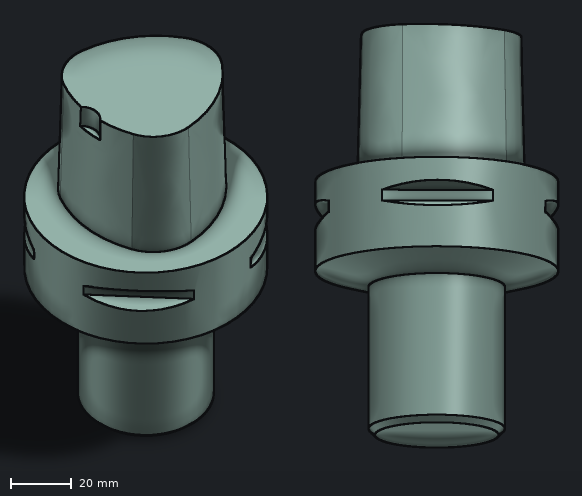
import cadquery as cq
import math

total_height = 133.0
flange_top = 85.1
flange_bottom = 55.0
shank_top = 49.7

flange_radius = 80.0 / 2
shank_radius = 45.0 / 2
shank_chamfer = 2.1

lobe_radius = 16.0
lobe_center_distance = 12.4
side_reach = 24.5
taper_per_side = 1 / 40

notch_radius = 6.5
notch_inner_y = -22.1
notch_depth = 8.1

groove_z = 73.2
groove_floor_distance = 35.6
groove_floor_height = 3.6
groove_mouth_height = 8.5


def polar(radius, degrees):
    angle = math.radians(degrees)
    return radius * math.cos(angle), radius * math.sin(angle)


def turned_body():
    """Revolve the shank, cone and flange about Z."""
    return (
        cq.Workplane("XZ")
        .moveTo(0, 0)
        .lineTo(shank_radius - shank_chamfer, 0)
        .lineTo(shank_radius, shank_chamfer)
        .lineTo(shank_radius, shank_top)
        .lineTo(flange_radius, flange_bottom)
        .lineTo(flange_radius, flange_top)
        .lineTo(0, flange_top)
        .close()
        .revolve(360, (0, 0, 0), (0, 1, 0))
    )


def lobed_outline(plane, offset):
    """Draw six tangent arcs, grown outward by offset from the top face outline."""
    reach_gap = side_reach - lobe_radius
    side_center_distance = (lobe_center_distance**2 - reach_gap**2) / (2 * reach_gap - lobe_center_distance)
    side_radius = side_center_distance + side_reach

    lobe_x, lobe_y = polar(lobe_center_distance, -30)
    tangent_angle = math.degrees(math.atan2(lobe_y - side_center_distance, lobe_x))
    arc_x, arc_y = polar(side_radius + offset, tangent_angle)
    tangent_x = arc_x
    tangent_y = arc_y + side_center_distance
    tangent_radius = math.hypot(tangent_x, tangent_y)
    half_side_angle = 90 + math.degrees(math.atan2(tangent_y, tangent_x))

    lobe_reach = lobe_center_distance + lobe_radius
    outline = plane.moveTo(*polar(tangent_radius, -90 - half_side_angle))
    for side_angle in (-90, 30, 150):
        side_end = polar(tangent_radius, side_angle + half_side_angle)
        lobe_end = polar(tangent_radius, side_angle + 120 - half_side_angle)
        outline = outline.threePointArc(polar(side_reach + offset, side_angle), side_end)
        outline = outline.threePointArc(polar(lobe_reach + offset, side_angle + 60), lobe_end)
    return outline.close()


def lobed_taper():
    """Loft the taper from the flange face up to the smaller top face."""
    height = total_height - flange_top
    base = lobed_outline(cq.Workplane("XY").workplane(offset=flange_top), height * taper_per_side)
    return lobed_outline(base.workplane(offset=height), 0).loft(ruled=True)


def key_notch():
    return (
        cq.Workplane("XY")
        .workplane(offset=total_height - notch_depth)
        .center(0, notch_inner_y - notch_radius)
        .circle(notch_radius)
        .extrude(notch_depth)
    )


def gripper_groove(angle):
    """Straight groove with flared walls, facing outward at the given angle about Z."""
    half_floor = groove_floor_height / 2
    half_mouth = groove_mouth_height / 2
    return (
        cq.Workplane("XZ")
        .moveTo(groove_floor_distance, groove_z - half_floor)
        .lineTo(flange_radius, groove_z - half_mouth)
        .lineTo(flange_radius, groove_z + half_mouth)
        .lineTo(groove_floor_distance, groove_z + half_floor)
        .close()
        .extrude(flange_radius, both=True)
        .rotate((0, 0, 0), (0, 0, 1), angle)
    )


result = turned_body().union(lobed_taper()).cut(key_notch())
for groove_angle in (45, 135, 225, 315):
    result = result.cut(gripper_groove(groove_angle))